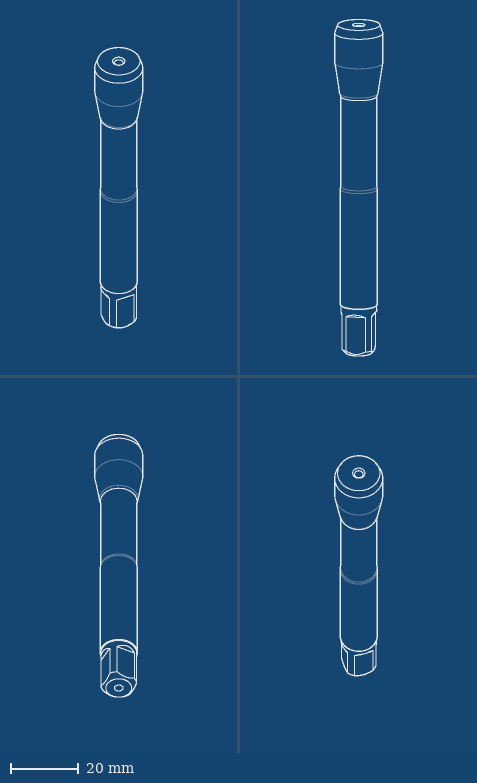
import cadquery as cq

total_length = 100.0
drive_chamfer = 1.5
flat_height = 12.0
collar_top = 14.6
body_bottom = 14.8
body_top = 50.0
neck_bottom = 50.8
neck_top = 78.3
taper_bottom = 79.2
head_bottom = 88.5
head_top = 97.5

shank_diameter = 10.6
body_diameter = 11.0
neck_diameter = 10.7
taper_small_diameter = 11.4
head_diameter = 14.2
head_face_diameter = 12.5
bore_diameter = 2.5
countersink_diameter = 3.6

across_flats = 8.9


def make_turned_body():
    """Revolve the stepped half profile around Z."""
    shank_radius = shank_diameter / 2
    body_radius = body_diameter / 2
    neck_radius = neck_diameter / 2
    head_radius = head_diameter / 2
    profile = [
        (0, 0),
        (shank_radius - drive_chamfer, 0),
        (shank_radius, drive_chamfer),
        (shank_radius, collar_top),
        (body_radius, body_bottom),
        (body_radius, body_top),
        (neck_radius, neck_bottom),
        (neck_radius, neck_top),
        (taper_small_diameter / 2, taper_bottom),
        (head_radius, head_bottom),
        (head_radius, head_top),
        (head_face_diameter / 2, total_length),
        (0, total_length),
    ]
    return cq.Workplane("XZ").polyline(profile).close().revolve(360, (0, 0), (0, 1))


def make_flat_cutter():
    """Prism that mills the +X flat and leaves a 45 degree run-out above it."""
    inner = across_flats / 2
    outer = shank_diameter / 2
    profile = [
        (inner, 0),
        (outer, 0),
        (outer, flat_height + outer - inner),
        (inner, flat_height),
    ]
    return cq.Workplane("XZ").polyline(profile).close().extrude(shank_diameter / 2, both=True)


def cut_square_drive(part):
    """Mill four equal flats at the lower end."""
    flat_count = 4
    cutter = make_flat_cutter()
    for index in range(flat_count):
        angle = index * 360 / flat_count
        part = part.cut(cutter.rotate((0, 0, 0), (0, 0, 1), angle))
    return part


def cut_bore(part):
    """Axial through bore with a countersink in the head face."""
    return part.faces(">Z").workplane().cskHole(bore_diameter, countersink_diameter, 90)


result = cut_bore(cut_square_drive(make_turned_body()))